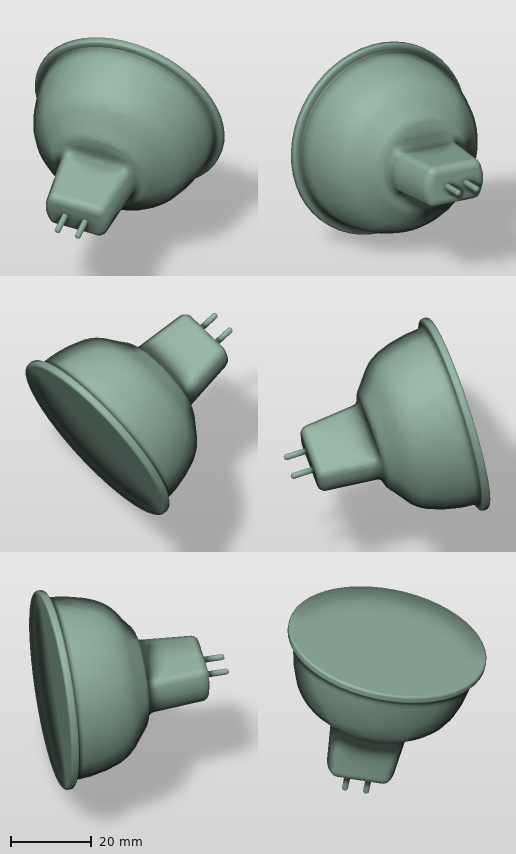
import cadquery as cq
import math


rim_radius = 24.9
rim_depth = 2.05
rim_round = 0.65
bowl_mouth_radius = 22.9
bowl_mouth_depth = 2.55
neck_radius = 23.2
bowl_depth = 22.8
bowl_flat_radius = 9.8
bowl_shoulder = (21.7, 10.5)
bowl_waist = (18.05, 17.85)
bowl_heel = (13.95, 21.0)
mouth_direction = (-0.05, -1)
flat_direction = (-1, 0)

base_end_depth = 38.85
base_start_depth = 19.95
base_half_height = 5.2
base_end_half_width = 8.25
base_taper = 0.1
base_side_radius = 8.45
base_round = 2.0
base_root_round = 2.0
root_margin = 0.5

pin_radius = 0.75
pin_spacing = 5.3
pin_end_depth = 44.55
pin_chamfer = 0.35
pin_embed = 2.5


def make_reflector():
    """Solid of revolution: rim, short neck and curved bowl."""
    profile = (
        cq.Workplane("XY")
        .lineTo(rim_radius, 0)
        .lineTo(rim_radius, -rim_depth)
        .lineTo(neck_radius, -rim_depth)
        .lineTo(bowl_mouth_radius, -bowl_mouth_depth)
        .spline(
            [
                (bowl_shoulder[0], -bowl_shoulder[1]),
                (bowl_waist[0], -bowl_waist[1]),
                (bowl_heel[0], -bowl_heel[1]),
                (bowl_flat_radius, -bowl_depth),
            ],
            includeCurrent=True,
            tangents=[mouth_direction, flat_direction],
        )
        .lineTo(0, -bowl_depth)
        .close()
    )
    reflector = profile.revolve(360, (0, 0, 0), (0, 1, 0))
    reflector = reflector.rotate((0, 0, 0), (0, 1, 0), 90)
    rim_edges = cq.selectors.RadiusNthSelector(-1)
    return reflector.edges("%CIRCLE").edges(rim_edges).fillet(rim_round)


def base_section(workplane, half_width):
    """Flat top and bottom, sides bowed outwards to half_width."""
    side_bow = base_side_radius - math.sqrt(base_side_radius**2 - base_half_height**2)
    corner_x = half_width - side_bow
    return (
        workplane.moveTo(-corner_x, base_half_height)
        .lineTo(corner_x, base_half_height)
        .threePointArc((half_width, 0), (corner_x, -base_half_height))
        .lineTo(-corner_x, -base_half_height)
        .threePointArc((-half_width, 0), (-corner_x, base_half_height))
        .close()
    )


def make_base():
    """Tapered block with rounded corners and a rounded end."""
    length = base_end_depth - base_start_depth
    start_half_width = base_end_half_width + base_taper * length
    start = cq.Workplane("XZ", origin=(0, -base_start_depth, 0))
    base = base_section(start, start_half_width)
    base = base_section(base.workplane(offset=length), base_end_half_width).loft(ruled=True)
    return base.edges("not >Y").fillet(base_round)


def make_pin(x):
    """Round contact pin with a chamfered tip."""
    start_depth = base_end_depth - pin_embed
    return (
        cq.Workplane("XZ", origin=(x, -start_depth, 0))
        .circle(pin_radius)
        .extrude(pin_end_depth - start_depth)
        .faces("<Y")
        .chamfer(pin_chamfer)
    )


def round_root(body):
    """Blend the base into the bowl."""
    reach = base_end_half_width + base_taper * base_end_depth
    root_zone = cq.selectors.BoxSelector(
        (-reach, -bowl_depth - root_margin, -base_half_height - root_margin),
        (reach, -base_start_depth, base_half_height + root_margin),
    )
    return body.edges(root_zone).fillet(base_root_round)


result = round_root(make_reflector().union(make_base()))
for side in (-1, 1):
    result = result.union(make_pin(side * pin_spacing / 2))